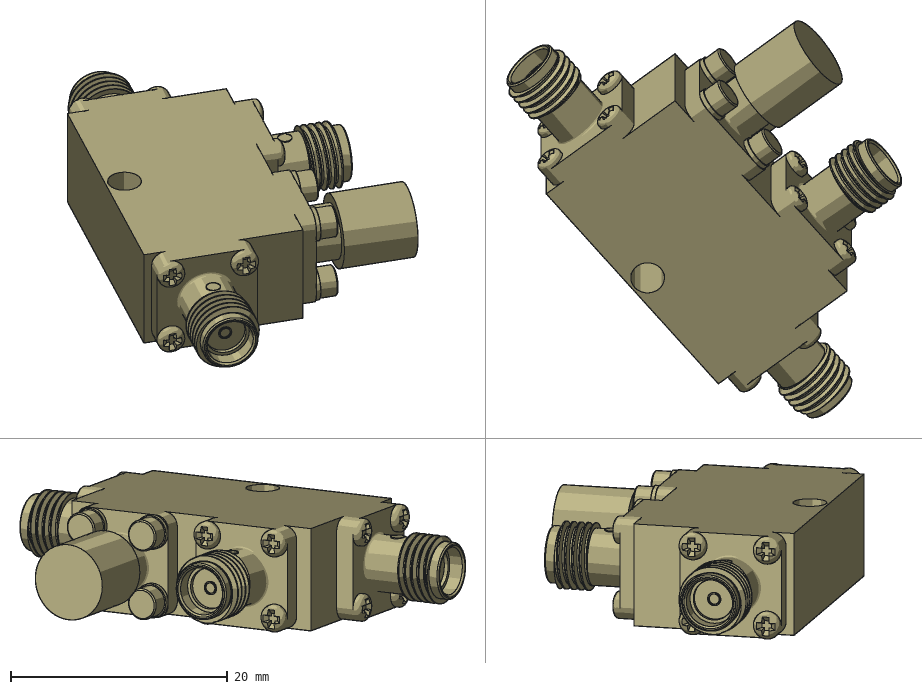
import cadquery as cq

body_length = 25.35
body_depth = 15.35
height = 9.7
mount_hole_radius = 1.55
mount_hole_y = 1.82

flange_thickness = 1.75
flange_corner_radius = 1.3
barrel_radius = 2.65
barrel_foot_fillet = 0.25

connector_length = 9.55
rim_chamfer = 0.15
thread_setback = 1.0
thread_length = 3.15
thread_pitch = 0.7
thread_root_radius = 2.7
thread_crest_radius = 3.15
thread_root_width = 0.6
thread_crest_width = 0.15
core_seam_angle = 40
thread_embed = 0.05
bore_radius = 2.22
bore_depth = 1.5
bore_mouth_chamfer = 0.2
seat_radius = 1.9
seat_depth = 1.9
contact_radius = 0.62
contact_hole_radius = 0.5
contact_height = 0.1
plug_radius = 0.65
plug_rise = 0.022
plug_distance = 3.8

screw_radius = 1.3
screw_offset = height / 2 - screw_radius
screw_rim = 0.35
screw_dome = 0.6
recess_top_length = 2.15
recess_bottom_length = 0.95
recess_top_width = 0.75
recess_bottom_width = 0.4
recess_depth = 0.55

terminator_length = 11.9
terminator_cap_radius = 3.55
terminator_cap_length = 7.1
cap_screw_radius = 1.45
cap_screw_length = 1.75
cap_screw_chamfer = 0.15
washer_radius = 1.6
washer_thickness = 0.45
cap_screw_offset = height / 2 - washer_radius

side_port_y = 5.6
rear_port_x = body_length / 4


def cylinder(radius, bottom, top):
    """Cylinder about the local Z axis between two heights."""
    return cq.Workplane("XY").workplane(offset=bottom).circle(radius).extrude(top - bottom)


def four_corners(shape, offset):
    """Union of four copies of a shape, one at each corner of a square."""
    copies = cq.Workplane("XY")
    for x in (-offset, offset):
        for y in (-offset, offset):
            copies = copies.union(shape.translate((x, y, 0)))
    return copies


def make_flanged_barrel(length):
    """Square flange with a round barrel rising from it out of a filleted foot."""
    plate = (
        cq.Workplane("XY")
        .rect(height, height)
        .extrude(flange_thickness)
        .edges("|Z")
        .fillet(flange_corner_radius)
    )
    barrel = (
        cq.Workplane("XZ")
        .lineTo(barrel_radius + barrel_foot_fillet, 0)
        .lineTo(barrel_radius + barrel_foot_fillet, flange_thickness)
        .radiusArc((barrel_radius, flange_thickness + barrel_foot_fillet), barrel_foot_fillet)
        .lineTo(barrel_radius, length - rim_chamfer)
        .lineTo(barrel_radius - rim_chamfer, length)
        .lineTo(0, length)
        .close()
        .revolve(360, (0, 0, 0), (0, 1, 0))
    )
    return plate.union(barrel)


def make_recessed_screw():
    """Domed screw head with a tapered cross recess, standing on the flange."""
    rim_top = flange_thickness + screw_rim
    crown = rim_top + screw_dome
    head = (
        cq.Workplane("XZ")
        .moveTo(0, flange_thickness)
        .lineTo(screw_radius, flange_thickness)
        .lineTo(screw_radius, rim_top)
        .ellipseArc(screw_radius, screw_dome, 0, 90)
        .close()
        .revolve(360, (0, 0, 0), (0, 1, 0))
    )
    slot = (
        cq.Workplane("XY")
        .workplane(offset=crown - recess_depth)
        .rect(recess_bottom_length, recess_bottom_width)
        .workplane(offset=recess_depth)
        .rect(recess_top_length, recess_top_width)
        .loft(ruled=True)
    )
    cross_slot = slot.rotate((0, 0, 0), (0, 0, 1), 90)
    return head.cut(slot).cut(cross_slot)


def make_thread():
    """Threaded core with a helical ridge trimmed flat at both ends."""
    bottom = connector_length - thread_setback - thread_length
    top = bottom + thread_length
    core = cylinder(thread_root_radius, bottom, top).rotate((0, 0, 0), (0, 0, 1), core_seam_angle)
    inner_radius = thread_root_radius - thread_embed
    helix_height = thread_length + 2 * thread_pitch
    helix = cq.Wire.makeHelix(thread_pitch, helix_height, inner_radius)
    ridge = (
        cq.Workplane("XZ")
        .moveTo(inner_radius, -thread_root_width / 2)
        .lineTo(thread_crest_radius, -thread_crest_width / 2)
        .lineTo(thread_crest_radius, thread_crest_width / 2)
        .lineTo(inner_radius, thread_root_width / 2)
        .close()
        .sweep(cq.Workplane(helix), isFrenet=True)
        .translate((0, 0, bottom - thread_pitch))
    )
    envelope = cylinder(thread_crest_radius + thread_pitch, bottom, top)
    return core.union(ridge.intersect(envelope))


def make_threaded_connector():
    """Flanged connector along local Z, with its side plug facing local +X."""
    plug = (
        cq.Workplane("YZ")
        .center(0, plug_distance)
        .circle(plug_radius)
        .extrude(barrel_radius + plug_rise)
    )
    bore_floor = connector_length - bore_depth
    seat_floor = connector_length - seat_depth
    bore = cylinder(bore_radius, bore_floor, connector_length)
    mouth = (
        cq.Workplane("XY")
        .workplane(offset=connector_length)
        .circle(bore_radius + bore_mouth_chamfer)
        .extrude(-bore_mouth_chamfer, taper=45)
    )
    seat = cylinder(seat_radius, seat_floor, bore_floor)
    contact_top = seat_floor + contact_height
    contact = cylinder(contact_radius, seat_floor, contact_top)
    contact_hole = cylinder(contact_hole_radius, seat_floor, contact_top)
    return (
        make_flanged_barrel(connector_length)
        .union(plug)
        .union(make_thread())
        .cut(bore)
        .cut(mouth)
        .cut(seat)
        .union(contact.cut(contact_hole))
        .union(four_corners(make_recessed_screw(), screw_offset))
    )


def make_terminator():
    """Flanged plain terminator along local Z, held by four cylindrical screws."""
    washer_top = flange_thickness + washer_thickness
    screw_top = washer_top + cap_screw_length
    washer = cylinder(washer_radius, flange_thickness, washer_top)
    head = cylinder(cap_screw_radius, washer_top, screw_top).faces(">Z").chamfer(cap_screw_chamfer)
    cap = cylinder(terminator_cap_radius, terminator_length - terminator_cap_length, terminator_length)
    return (
        make_flanged_barrel(terminator_length)
        .union(cap)
        .union(four_corners(washer.union(head), cap_screw_offset))
    )


def place(part, origin, direction):
    """Stand a local-Z part on the block so that its local +X faces up."""
    plane = cq.Plane(origin=origin, xDir=(0, 0, 1), normal=direction)
    return cq.Workplane(part.val().moved(cq.Location(plane)))


body = (
    cq.Workplane("XY")
    .box(body_length, body_depth, height, centered=(True, False, True))
    .cut(cylinder(mount_hole_radius, -height / 2, height / 2).translate((0, mount_hole_y, 0)))
)

connector = make_threaded_connector()
terminator = make_terminator()

result = (
    body.union(place(connector, (-body_length / 2, side_port_y, 0), (-1, 0, 0)), clean=False)
    .union(place(connector, (body_length / 2, side_port_y, 0), (1, 0, 0)), clean=False)
    .union(place(connector, (-rear_port_x, body_depth, 0), (0, 1, 0)), clean=False)
    .union(place(terminator, (rear_port_x, body_depth, 0), (0, 1, 0)), clean=False)
    .solids()
)